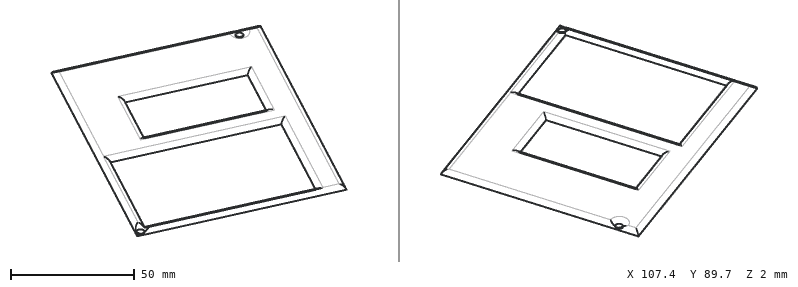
import cadquery as cq
import math

length = 107.4
width = 89.7
thickness = 2.0

edge_round_width = 2.5
edge_round_radius = (edge_round_width**2 + thickness**2) / (2 * thickness)

half_angle = math.asin(edge_round_width / edge_round_radius) / 2
arc_mid_inset = edge_round_width - edge_round_radius * math.sin(half_angle)
arc_mid_height = thickness - edge_round_radius * (1 - math.cos(half_angle))

small_window = (-26.7, -3.1, -22.5, 30.0)
large_window = (6.7, 49.7, -40.2, 33.0)

hole_diameter = 3.2
left_hole_edge_distance = 2.4
corner_hole_edge_distance = 2.1
left_hole_y = 34.9
hole_centers = [
    (-length / 2 + left_hole_edge_distance, left_hole_y),
    (length / 2 - corner_hole_edge_distance, -width / 2 + corner_hole_edge_distance),
]


def rounded_section(plane, start, end, direction):
    """Section from start to end at the underside, with an arc up each side.
    It narrows toward the top for direction 1 and flares out for direction -1."""
    top_shift = direction * edge_round_width
    mid_shift = direction * arc_mid_inset
    return (
        cq.Workplane(plane)
        .moveTo(start, 0)
        .threePointArc((start + mid_shift, arc_mid_height), (start + top_shift, thickness))
        .lineTo(end - top_shift, thickness)
        .threePointArc((end - mid_shift, arc_mid_height), (end, 0))
        .close()
    )


def mitred_block(left, right, front, back, direction):
    """Rectangular block whose four curved sides meet in mitred corners."""
    along_y = rounded_section("XZ", left, right, direction).extrude(length, both=True)
    along_x = rounded_section("YZ", front, back, direction).extrude(length, both=True)
    return along_y.intersect(along_x)


def flared_hole(x, y):
    """Through hole that flares out to the top face with the same arc as the edges."""
    hole_radius = hole_diameter / 2
    return (
        cq.Workplane("XZ")
        .moveTo(0, 0)
        .lineTo(hole_radius, 0)
        .threePointArc(
            (hole_radius + arc_mid_inset, arc_mid_height),
            (hole_radius + edge_round_width, thickness),
        )
        .lineTo(0, thickness)
        .close()
        .revolve(360, (0, 0), (0, 1))
        .translate((x, y, 0))
    )


result = mitred_block(-length / 2, length / 2, -width / 2, width / 2, 1)

for window in (small_window, large_window):
    result = result.cut(mitred_block(*window, -1))

for center in hole_centers:
    result = result.cut(flared_hole(*center))